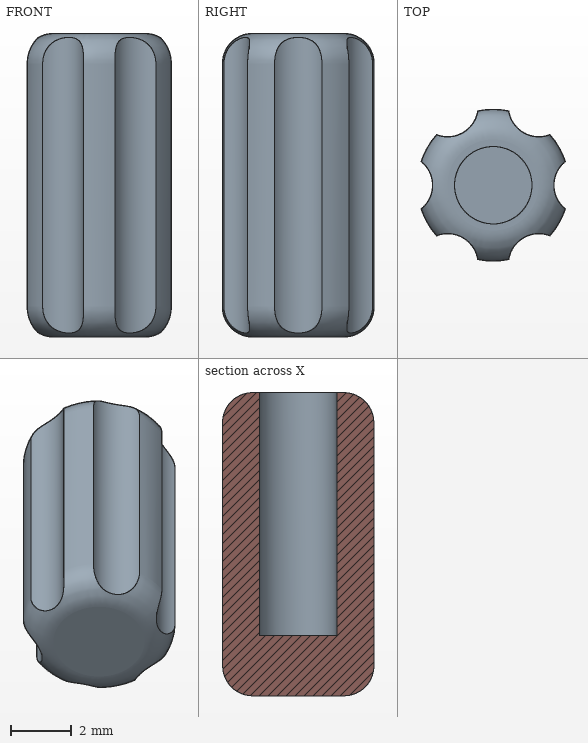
import cadquery as cq

height = 10.0
body_diameter = 5.0
edge_radius = 1.0

bore_diameter = 2.55
bore_depth = 8.0

flute_count = 6
flute_radius = 1.0
flute_circle_radius = body_diameter / 2 + flute_radius / 2


def rounded_body():
    """Cylinder standing on Z = 0 with both end edges rounded."""
    body = cq.Workplane("XY").circle(body_diameter / 2).extrude(height)
    return body.edges().fillet(edge_radius)


def flutes():
    """Full-height cylinders evenly spaced around the body, the first on +X."""
    return (
        cq.Workplane("XY")
        .polarArray(flute_circle_radius, 0, 360, flute_count)
        .circle(flute_radius)
        .extrude(height)
    )


def bore():
    """Flat-bottomed hole cut down from the top face."""
    return (
        cq.Workplane("XY")
        .workplane(offset=height - bore_depth)
        .circle(bore_diameter / 2)
        .extrude(bore_depth)
    )


result = rounded_body().cut(flutes()).cut(bore())